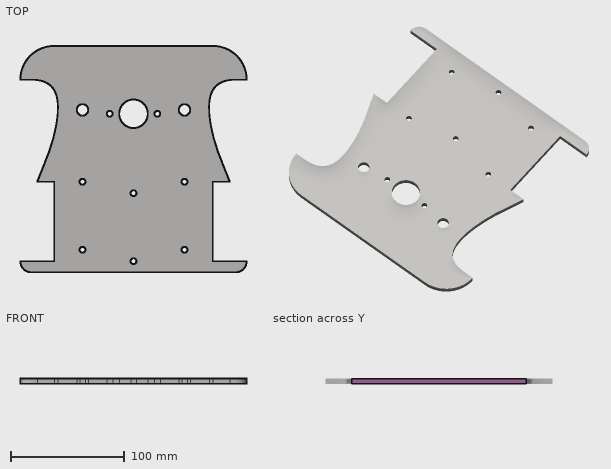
import cadquery as cq

width = 200.0
length = 200.0
thickness = 5.0
half_width = width / 2
half_length = length / 2

shoulder_radius = 30.0
shoulder_y = half_length - shoulder_radius
armpit_flat_end_x = 90.0
waist_x = 66.8
waist_y = 44.0
flank_x = 73.5
flank_y = 10.0
hip_x = 85.0
hip_y = -20.0
armpit_direction = (-1, 0)
hip_direction = (2, -5)
body_x = 70.0
foot_height = 10.0
foot_top_y = -half_length + foot_height
foot_corner_radius = 10.0

center_bore_diameter = 25.0
center_bore_y = 40.0
small_hole_diameter = 5.0
bore_screw_x = 21.0
large_hole_diameter = 10.0
side_hole_x = 45.0
large_hole_y = 43.5
side_hole_ys = (-20.0, -80.0)
center_hole_ys = (-30.0, -90.0)


def half_plate():
    """Right half of the plate, bounded by the centerline."""
    return (
        cq.Workplane("XY")
        .moveTo(0, half_length)
        .lineTo(half_width - shoulder_radius, half_length)
        .radiusArc((half_width, shoulder_y), shoulder_radius)
        .lineTo(armpit_flat_end_x, shoulder_y)
        .spline(
            [(waist_x, waist_y), (flank_x, flank_y), (hip_x, hip_y)],
            tangents=[armpit_direction, hip_direction],
            includeCurrent=True,
        )
        .lineTo(body_x, hip_y)
        .lineTo(body_x, foot_top_y)
        .lineTo(half_width, foot_top_y)
        .radiusArc((half_width - foot_corner_radius, -half_length), foot_corner_radius)
        .lineTo(0, -half_length)
        .close()
        .extrude(thickness)
    )


def hole_cutter(diameter, points):
    """Round cutters through the full plate thickness."""
    return cq.Workplane("XY").pushPoints(points).circle(diameter / 2).extrude(thickness)


right_half = half_plate()
plate = right_half.union(right_half.mirror("YZ")).clean()

small_hole_points = [(0, y) for y in center_hole_ys]
for side in (-1, 1):
    small_hole_points.append((side * bore_screw_x, center_bore_y))
    small_hole_points += [(side * side_hole_x, y) for y in side_hole_ys]
large_hole_points = [(side * side_hole_x, large_hole_y) for side in (-1, 1)]

result = (
    plate.cut(hole_cutter(center_bore_diameter, [(0, center_bore_y)]))
    .cut(hole_cutter(small_hole_diameter, small_hole_points))
    .cut(hole_cutter(large_hole_diameter, large_hole_points))
)